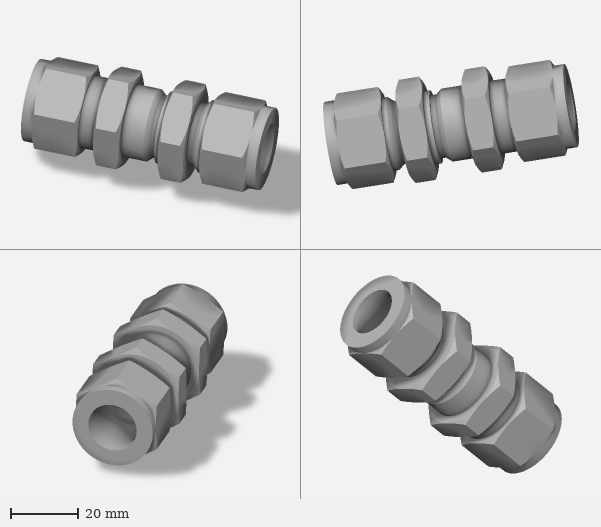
import cadquery as cq
import math

overall_length = 72.5

body_diameter = 22.0
neck_diameter = 19.0
tube_bore_diameter = 15.1
through_bore_diameter = 12.0

nut_across_flats = 25.0
nut_collar_length = 3.2
nut_hex_length = 14.2
nut_length = nut_collar_length + nut_hex_length
tube_bore_depth = nut_length

bulkhead_across_flats = 27.0
bulkhead_hex_length = 8.0
body_hex_start = 22.55
locknut_start = 42.5

neck_start = 39.15
neck_end = 51.9
neck_cone_length = 1.75
locknut_washer_length = 1.75

corner_chamfer_angle = math.radians(25)


def cylinder(start, length, diameter):
    """Solid cylinder along X."""
    return cq.Workplane("YZ", origin=(start, 0, 0)).circle(diameter / 2).extrude(length)


def chamfered_hexagon(start, length, across_flats):
    """Hexagonal prism along X, corners up and down, with both ends chamfered to a round face."""
    corner_radius = across_flats / math.sqrt(3)
    face_radius = across_flats / 2
    chamfer_length = (corner_radius - face_radius) * math.tan(corner_chamfer_angle)
    end = start + length
    prism = (
        cq.Workplane("YZ", origin=(start, 0, 0))
        .transformed(rotate=(0, 0, 90))
        .polygon(6, 2 * corner_radius)
        .extrude(length)
    )
    turned_envelope = (
        cq.Workplane("XZ")
        .moveTo(start, 0)
        .lineTo(start, face_radius)
        .lineTo(start + chamfer_length, corner_radius)
        .lineTo(end - chamfer_length, corner_radius)
        .lineTo(end, face_radius)
        .lineTo(end, 0)
        .close()
        .revolve(360, (0, 0, 0), (1, 0, 0))
    )
    return prism.intersect(turned_envelope)


def turned_body():
    """Round body between the nuts, stepped down to the neck through a cone at each end."""
    body_radius = body_diameter / 2
    neck_radius = neck_diameter / 2
    start = nut_collar_length
    end = overall_length - nut_collar_length
    return (
        cq.Workplane("XZ")
        .moveTo(start, 0)
        .lineTo(start, body_radius)
        .lineTo(neck_start - neck_cone_length, body_radius)
        .lineTo(neck_start, neck_radius)
        .lineTo(neck_end, neck_radius)
        .lineTo(neck_end + neck_cone_length, body_radius)
        .lineTo(end, body_radius)
        .lineTo(end, 0)
        .close()
        .revolve(360, (0, 0, 0), (1, 0, 0))
    )


def compression_nuts():
    """Pair of nuts, each with its round collar at the outer end."""
    left_collar = cylinder(0, nut_collar_length, nut_across_flats)
    left_hexagon = chamfered_hexagon(nut_collar_length, nut_hex_length, nut_across_flats)
    left_nut = left_collar.union(left_hexagon)
    right_nut = left_nut.mirror("YZ", (overall_length / 2, 0, 0))
    return left_nut.union(right_nut)


def bulkhead_hexagons():
    """Fixed body hexagon and the locknut with its washer face."""
    washer_start = locknut_start - locknut_washer_length
    hexagons = cylinder(washer_start, locknut_washer_length, body_diameter)
    for start in (body_hex_start, locknut_start):
        hexagons = hexagons.union(chamfered_hexagon(start, bulkhead_hex_length, bulkhead_across_flats))
    return hexagons


def bores():
    """Through bore, widened from each end to take a tube."""
    cutter = cylinder(0, overall_length, through_bore_diameter)
    for start in (0, overall_length - tube_bore_depth):
        cutter = cutter.union(cylinder(start, tube_bore_depth, tube_bore_diameter))
    return cutter


fitting = turned_body().union(compression_nuts()).union(bulkhead_hexagons()).cut(bores())
result = fitting.translate((-overall_length / 2, 0, 0))